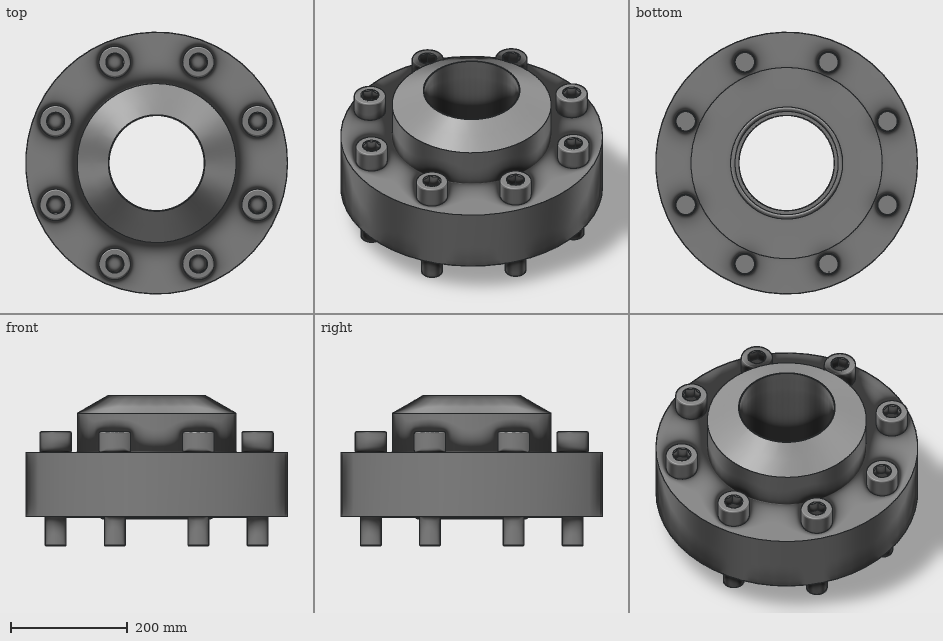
import cadquery as cq
import math


FLANGE_DIAMETER = 449.5
FLANGE_THICKNESS = 110.0
RAISED_FACE_DIAMETER = 328.0
RAISED_FACE_HEIGHT = 1.5
BORE_DIAMETER = 163.0

NECK_DIAMETER = 273.0
NECK_HEIGHT = 98.0
BEVEL_ANGLE = 30.0
BEVEL_LAND = 1.5
NECK_FILLET = 1.5

GROOVE_INNER_DIAMETER = 177.0
GROOVE_OUTER_DIAMETER = 192.5
RING_PROTRUSION = 2.2

SCREW_COUNT = 8
BOLT_CIRCLE_DIAMETER = 375.0
SHANK_DIAMETER = 36.0
SCREW_HOLE_DIAMETER = 37.0
SHANK_LENGTH = 160.0
TIP_CHAMFER = 1.5
HEAD_DIAMETER = 54.0
HEAD_HEIGHT = 36.0
HEAD_FILLET = 3.5
SOCKET_ACROSS_FLATS = 27.0
SOCKET_DEPTH = 20.2
SOCKET_MOUTH_DIAMETER = 31.0

flange_bottom = -FLANGE_THICKNESS
sealing_face = flange_bottom - RAISED_FACE_HEIGHT
ring_section = (GROOVE_OUTER_DIAMETER - GROOVE_INNER_DIAMETER) / 2
ring_mean_radius = (GROOVE_OUTER_DIAMETER + GROOVE_INNER_DIAMETER) / 4
groove_depth = ring_section - RING_PROTRUSION
screw_pitch = 360 / SCREW_COUNT


def make_neck():
    """Neck with a bevelled end, filleted into the flange at its foot."""
    bore_radius = BORE_DIAMETER / 2
    neck_radius = NECK_DIAMETER / 2
    land_radius = bore_radius + BEVEL_LAND
    bevel_height = (neck_radius - land_radius) * math.tan(math.radians(BEVEL_ANGLE))
    foot_corner_radius = neck_radius + NECK_FILLET
    profile = (
        cq.Workplane("XZ")
        .moveTo(bore_radius, 0)
        .lineTo(foot_corner_radius, 0)
        .radiusArc((neck_radius, NECK_FILLET), NECK_FILLET)
        .lineTo(neck_radius, NECK_HEIGHT - bevel_height)
        .lineTo(land_radius, NECK_HEIGHT)
        .lineTo(bore_radius, NECK_HEIGHT)
        .close()
    )
    return profile.revolve(360, (0, 0, 0), (0, 1, 0))


def make_ring_groove():
    """Annular space for the O-ring, open at the sealing face."""
    return (
        cq.Workplane("XY", origin=(0, 0, sealing_face))
        .circle(GROOVE_OUTER_DIAMETER / 2)
        .circle(GROOVE_INNER_DIAMETER / 2)
        .extrude(groove_depth)
    )


def make_flange():
    """Flange disc with raised face, welding neck, bore, O-ring groove and screw holes."""
    disc = cq.Workplane("XY").circle(FLANGE_DIAMETER / 2).extrude(flange_bottom)
    raised_face = (
        cq.Workplane("XY", origin=(0, 0, flange_bottom))
        .circle(RAISED_FACE_DIAMETER / 2)
        .extrude(-RAISED_FACE_HEIGHT)
    )
    bore = (
        cq.Workplane("XY", origin=(0, 0, sealing_face))
        .circle(BORE_DIAMETER / 2)
        .extrude(NECK_HEIGHT - sealing_face)
    )
    screw_holes = (
        cq.Workplane("XY")
        .polarArray(BOLT_CIRCLE_DIAMETER / 2, screw_pitch / 2, 360, SCREW_COUNT)
        .circle(SCREW_HOLE_DIAMETER / 2)
        .extrude(flange_bottom)
    )
    body = disc.union(raised_face).cut(bore).union(make_neck())
    return body.cut(make_ring_groove()).cut(screw_holes)


def make_o_ring():
    """Round-section ring that fills the groove width and stands proud of the sealing face."""
    section_centre = sealing_face - RING_PROTRUSION + ring_section / 2
    return (
        cq.Workplane("XZ")
        .center(ring_mean_radius, section_centre)
        .circle(ring_section / 2)
        .revolve(360, (-ring_mean_radius, 0, 0), (-ring_mean_radius, 1, 0))
    )


def make_socket():
    """Hexagonal socket with a corner along X and a 45-degree conical mouth."""
    across_corners = SOCKET_ACROSS_FLATS / math.cos(math.radians(30))
    hexagon = (
        cq.Workplane("XY", origin=(0, 0, HEAD_HEIGHT))
        .polygon(6, across_corners)
        .extrude(-SOCKET_DEPTH)
    )
    mouth_radius = SOCKET_MOUTH_DIAMETER / 2
    mouth = cq.Workplane("XY").add(
        cq.Solid.makeCone(
            mouth_radius, 0, mouth_radius, pnt=(0, 0, HEAD_HEIGHT), dir=(0, 0, -1)
        )
    )
    return hexagon.union(mouth)


def make_screw(angle):
    """Socket head cap screw seated on the flange, turned with its place on the bolt circle."""
    head = (
        cq.Workplane("XY")
        .circle(HEAD_DIAMETER / 2)
        .extrude(HEAD_HEIGHT)
        .edges()
        .fillet(HEAD_FILLET)
    )
    shank = (
        cq.Workplane("XY")
        .circle(SHANK_DIAMETER / 2)
        .extrude(-SHANK_LENGTH)
        .faces("<Z")
        .chamfer(TIP_CHAMFER)
    )
    first_angle = math.radians(screw_pitch / 2)
    first_x = BOLT_CIRCLE_DIAMETER / 2 * math.cos(first_angle)
    first_y = BOLT_CIRCLE_DIAMETER / 2 * math.sin(first_angle)
    return (
        head.union(shank)
        .cut(make_socket())
        .translate((first_x, first_y, 0))
        .rotate((0, 0, 0), (0, 0, 1), angle)
    )


flange = make_flange()
o_ring = make_o_ring()
screws = [make_screw(index * screw_pitch) for index in range(SCREW_COUNT)]

result = cq.Compound.makeCompound(
    [flange.val(), o_ring.val(), *[screw.val() for screw in screws]]
)